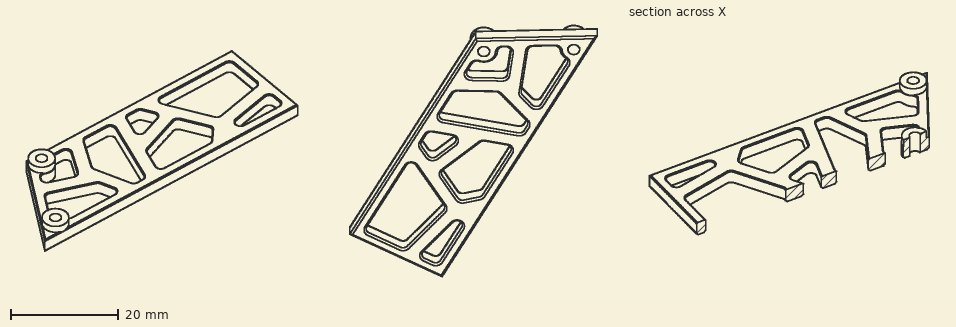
import cadquery as cq
import math

width = 19.6
length = 60.45
slant_angle = 30.0
plate_thickness = 3.0
top_chamfer = 0.2
bottom_chamfer = 0.4

border = 2.0
rib_width = 3.0
corner_radius = border / 2

boss_diameter = 5.0
boss_height = 1.45
boss_spacing_x = 14.5
boss_edge_gap = 0.2
hole_diameter = 2.2
pad_margin = 0.05

slope = math.tan(math.radians(slant_angle))
slant_cos = math.cos(math.radians(slant_angle))


def trapezoid(inset):
    """Plate outline moved inward by inset on every side."""
    left = inset
    right = width - inset
    lift = inset / slant_cos
    return [
        (left, (width - left) * slope + lift),
        (right, (width - right) * slope + lift),
        (right, length - inset),
        (left, length - inset),
    ]


def prism(points):
    """Plate-thick solid with the given outline."""
    return cq.Workplane("XY").polyline(points).close().extrude(plate_thickness)


boss_radius = boss_diameter / 2
right_boss_x = width - boss_radius
boss_points = [
    (x, (width - x) * slope + (boss_radius + boss_edge_gap) / slant_cos)
    for x in (right_boss_x - boss_spacing_x, right_boss_x)
]


def boss_cylinders(diameter, bottom, top):
    """Upright cylinders at both boss centres, between two heights."""
    floor = cq.Workplane("XY").workplane(offset=bottom)
    return floor.pushPoints(boss_points).circle(diameter / 2).extrude(top - bottom)


upper_junction = (14.7, 46.05)
branch_junction = (6.35, 41.1)
middle_junction = (10.65, 29.3)
lower_junction = (9.2, 18.0)
foot_junction = (11.95, 19.1)
rib_lines = [
    ((11.6, length), upper_junction),
    (upper_junction, (width, 41.65)),
    ((0, 37.3), upper_junction),
    (branch_junction, middle_junction),
    ((0, 32.5), (width, 26.6)),
    ((0, 22.7), lower_junction),
    (lower_junction, (width, 22.1)),
    (foot_junction, (7.4, 7.1)),
]


def rib(start, end):
    """Straight bar of rib width between two points."""
    run = end[0] - start[0]
    rise = end[1] - start[1]
    return (
        cq.Workplane("XY")
        .rect(math.hypot(run, rise), rib_width)
        .extrude(plate_thickness)
        .rotate((0, 0, 0), (0, 0, 1), math.degrees(math.atan2(rise, run)))
        .translate(((start[0] + end[0]) / 2, (start[1] + end[1]) / 2, 0))
    )


pads = boss_cylinders(boss_diameter + 2 * pad_margin, 0, plate_thickness)
openings = prism(trapezoid(border)).cut(pads)
for start, end in rib_lines:
    openings = openings.cut(rib(start, end))


def rounded_window(opening):
    """Same window with every corner rounded, by shrinking and regrowing its outline."""
    outline = cq.Workplane(opening).faces("<Z").wires().val()
    core = outline.offset2D(-corner_radius)[0]
    return cq.Workplane(core.offset2D(corner_radius)[0]).toPending().extrude(plate_thickness)


plate = prism(trapezoid(0))
for opening in openings.solids().vals():
    plate = plate.cut(rounded_window(opening))
plate = plate.faces(">Z").edges().chamfer(top_chamfer)
plate = plate.faces("<Z").edges().chamfer(bottom_chamfer)

full_height = plate_thickness + boss_height
bosses = boss_cylinders(boss_diameter, bottom_chamfer, full_height)
holes = boss_cylinders(hole_diameter, 0, full_height)
result = plate.union(bosses).cut(holes)